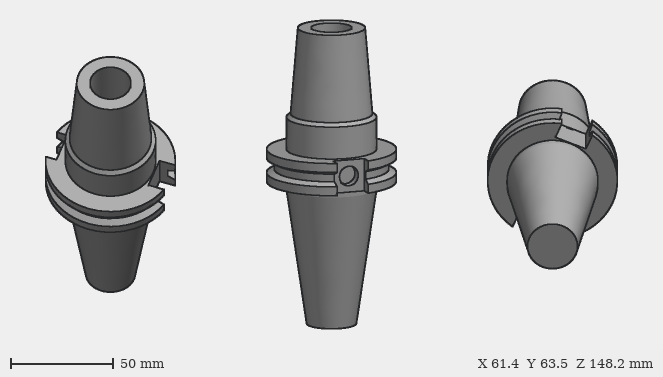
import cadquery as cq

total_height = 148.2
taper_length = 68.2
flange_bottom_z = 71.3
flange_top_z = 87.5
collar_chamfer_height = 1.8
collar_top_z = 105.3
nose_base_z = 106.0

taper_small_diameter = 24.5
taper_large_diameter = 44.5
collar_diameter = 44.2
flange_diameter = 63.5
nose_base_diameter = 40.0
nose_tip_diameter = 33.0

groove_root_diameter = 56.2
groove_root_width = 3.9
groove_mouth_width = 7.3

slot_width = 16.2
left_slot_floor_x = -25.2
right_slot_floor_x = 22.5

bore_diameter = 20.0
bore_depth = 51.9
chip_hole_diameter = 9.8
chip_hole_depth = 4.9

flange_height = flange_top_z - flange_bottom_z
flange_mid_z = (flange_bottom_z + flange_top_z) / 2


def make_turned_body():
    """Revolve the half profile of taper, flange, collar and nose about Z."""
    collar_radius = collar_diameter / 2
    taper_large_radius = taper_large_diameter / 2
    flange_radius = flange_diameter / 2
    groove_root_radius = groove_root_diameter / 2
    nose_base_radius = nose_base_diameter / 2
    profile = [
        (0, 0),
        (taper_small_diameter / 2, 0),
        (taper_large_radius, taper_length),
        (taper_large_radius, flange_bottom_z),
        (flange_radius, flange_bottom_z),
        (flange_radius, flange_mid_z - groove_mouth_width / 2),
        (groove_root_radius, flange_mid_z - groove_root_width / 2),
        (groove_root_radius, flange_mid_z + groove_root_width / 2),
        (flange_radius, flange_mid_z + groove_mouth_width / 2),
        (flange_radius, flange_top_z),
        (collar_radius, flange_top_z),
        (collar_radius, collar_top_z - collar_chamfer_height),
        (nose_base_radius, collar_top_z),
        (nose_base_radius, nose_base_z),
        (nose_tip_diameter / 2, total_height),
        (0, total_height),
    ]
    return cq.Workplane("XZ").polyline(profile).close().revolve(360, (0, 0), (0, 1))


def make_drive_slot(floor_x):
    """Block that cuts a drive slot from floor_x outward past the flange rim."""
    outer_x = flange_diameter if floor_x > 0 else -flange_diameter
    return (
        cq.Workplane("XY")
        .box(abs(outer_x - floor_x), slot_width, flange_height)
        .translate(((floor_x + outer_x) / 2, 0, flange_mid_z))
    )


def make_bore():
    """Tool bore, sunk from the tip of the nose."""
    bore_floor_z = total_height - bore_depth
    return cq.Workplane("XY", origin=(0, 0, bore_floor_z)).circle(bore_diameter / 2).extrude(bore_depth)


def make_chip_hole():
    """Blind hole running in +X from the floor of the -X drive slot."""
    return (
        cq.Workplane("YZ", origin=(left_slot_floor_x, 0, flange_mid_z))
        .circle(chip_hole_diameter / 2)
        .extrude(chip_hole_depth)
    )


result = make_turned_body()
for slot_floor_x in (left_slot_floor_x, right_slot_floor_x):
    result = result.cut(make_drive_slot(slot_floor_x))
result = result.cut(make_bore()).cut(make_chip_hole())